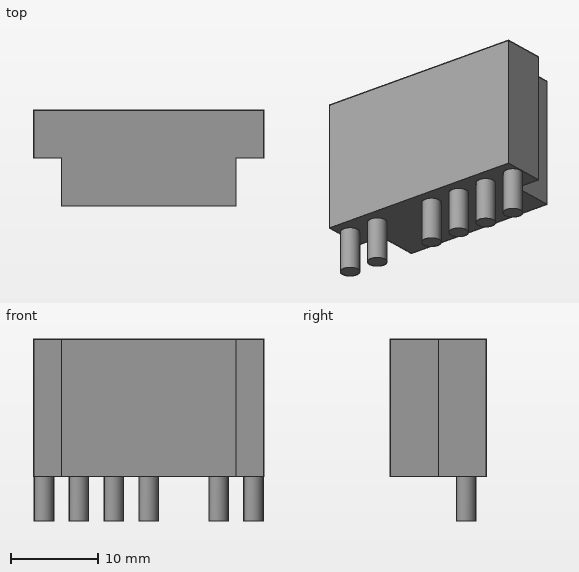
import cadquery as cq

housing_width = 26.4
housing_depth = 11.0
front_width = 20.0
rear_depth = housing_depth / 2
total_height = 20.83

pin_diameter = 2.24
pin_length = 5.08
pin_pitch = 4.0
pin_positions = [-3, -2, -1, 0, 2, 3]
pin_to_rear_face = 2.3

housing_height = total_height - pin_length
rear_face_y = housing_depth / 2
pin_row_y = rear_face_y - pin_to_rear_face


def make_housing():
    """T-shaped block standing on the XY plane, wide half towards +Y."""
    step_y = rear_face_y - rear_depth
    front_face_y = rear_face_y - housing_depth
    right_half_outline = [
        (0, front_face_y),
        (front_width / 2, front_face_y),
        (front_width / 2, step_y),
        (housing_width / 2, step_y),
        (housing_width / 2, rear_face_y),
        (0, rear_face_y),
    ]
    return (
        cq.Workplane("XY")
        .polyline(right_half_outline)
        .mirrorY()
        .extrude(housing_height)
    )


def make_pin(x):
    """Round pin hanging from the underside of the housing."""
    return (
        cq.Workplane("XY")
        .center(x, pin_row_y)
        .circle(pin_diameter / 2)
        .extrude(-pin_length)
    )


housing = make_housing()
pins = [make_pin(position * pin_pitch) for position in pin_positions]

result = cq.Compound.makeCompound([housing.val(), *[pin.val() for pin in pins]])